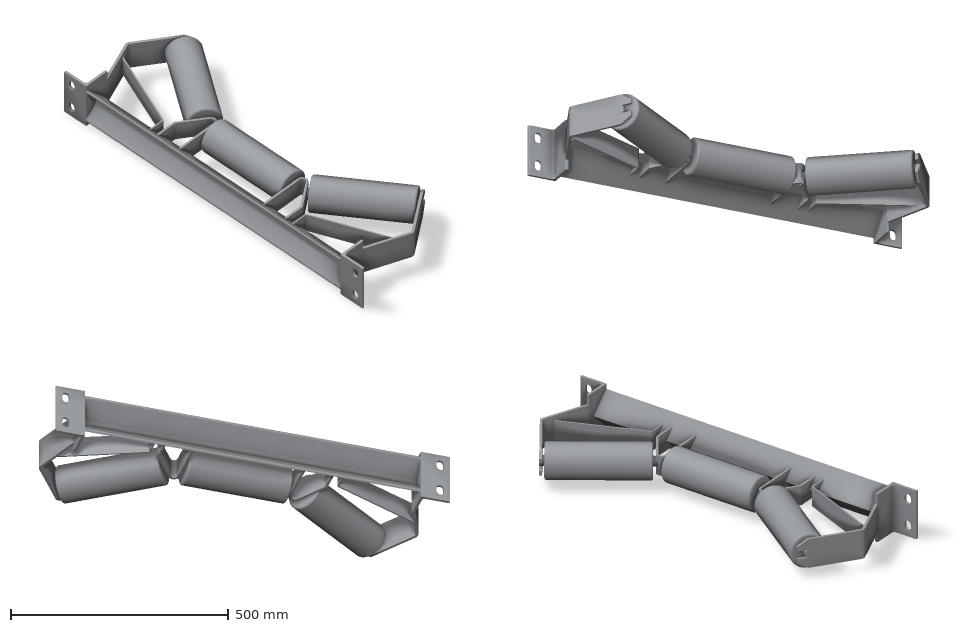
import cadquery as cq
import math


beam_leg = 70.0
beam_thickness = 7.0
beam_root_radius = 10.0
beam_toe_radius = 5.0
beam_apex_y = 51.0

total_length = 950.0
end_angle_width = 125.0
end_angle_leg = 70.0
end_angle_thickness = 7.0
end_angle_root_radius = 8.0
end_angle_toe_radius = 3.0
slot_length = 26.0
slot_width = 17.0
slot_edge_distance = 24.0
slot_spacing = 69.0

tilt = 35.0
roller_radius = 45.0
roller_length = 250.0
roller_edge_radius = 5.0
level_roller_y = 133.0
tilted_roller_x = 271.0
tilted_roller_y = 218.5

shaft_radius = 12.0
shaft_length = 274.0
shaft_round_length = 254.0
shaft_flat_width = 20.0
seat_entry_length = 38.0

arm_thickness = 7.0
arm_width = 75.0
arm_lean = 21.6
arm_bend_y = 188.0
arm_bend_radius = 8.0
arm_tip_y = 320.0
arm_tip_chamfer_length = 27.0
arm_tip_chamfer_width = 16.0

bracket_thickness = 6.0
bracket_width = 50.0
bracket_inner_x = 134.0
bracket_outer_x = 202.0
bracket_bend_y = 82.0
bracket_bend_radius = 3.0
bracket_arch_radius = 9.0

strut_thickness = 4.0
strut_width = bracket_width
strut_foot_x = 227.0
strut_bend_y = 70.0
strut_bend_radius = 2.0
strut_arm_y = 159.0

beam_half_length = total_length / 2 - end_angle_leg
beam_plane = cq.Plane(origin=(-beam_half_length, beam_apex_y, 0), xDir=(0, -1, 1), normal=(1, 0, 0))
tilt_tangent = math.tan(math.radians(tilt))
lean_tangent = math.tan(math.radians(arm_lean))
arm_foot_x = beam_half_length + end_angle_thickness / 2


def arm_x(y):
    """X of the centre line of the lower, leaning part of the arm."""
    return arm_foot_x + (y - end_angle_leg) * lean_tangent


arm_line = [
    (arm_foot_x, end_angle_leg - end_angle_toe_radius),
    (arm_foot_x, end_angle_leg),
    (arm_x(arm_bend_y), arm_bend_y),
    (arm_x(arm_bend_y) - (arm_tip_y - arm_bend_y) * tilt_tangent, arm_tip_y),
]
bracket_peak_y = bracket_bend_y + (bracket_outer_x - bracket_inner_x) / tilt_tangent
bracket_line = [
    (bracket_inner_x, 0),
    (bracket_inner_x, bracket_peak_y),
    (bracket_outer_x, bracket_bend_y),
    (bracket_outer_x, 0),
]
strut_line = [
    (strut_foot_x, 0),
    (strut_foot_x, strut_bend_y),
    (arm_x(strut_arm_y), strut_arm_y),
]


def plate(outline, width):
    """Closed outline in X and Y, extruded along Z and centred on Z = 0."""
    return cq.Workplane("XY", origin=(0, 0, -width / 2)).polyline(outline).close().extrude(width)


def rod(radius, length):
    """Round bar along X, centred on the origin."""
    return cq.Workplane("YZ", origin=(-length / 2, 0, 0)).circle(radius).extrude(length)


def round_corner(body, x, y, radius):
    """Round the edge along Z at the given corner."""
    return body.edges(cq.NearestToPointSelector((x, y, 0))).fillet(radius)


def offset_line(line, distance):
    """Points of an open line moved to its left by a distance, with mitred corners."""
    headings = [math.atan2(end[1] - start[1], end[0] - start[0]) for start, end in zip(line, line[1:])]
    headings_before = headings[:1] + headings
    headings_after = headings + headings[-1:]
    moved = []
    for (x, y), before, after in zip(line, headings_before, headings_after):
        middle = (before + after) / 2
        reach = distance / math.cos((after - before) / 2)
        moved.append((x - reach * math.sin(middle), y + reach * math.cos(middle)))
    return moved


def bent_strap(line, inner_radii, thickness, width):
    """Flat bar bent along a line. Each bend has its inner radius, and 0 leaves it sharp."""
    left = offset_line(line, thickness / 2)
    right = offset_line(line, -thickness / 2)
    strap = plate(left + right[::-1], width)
    for corner, radius in enumerate(inner_radii, start=1):
        if radius == 0:
            continue
        before = line[corner - 1]
        corners = (left[corner], right[corner])
        inner, outer = sorted(corners, key=lambda point: math.dist(point, before))
        strap = round_corner(strap, *inner, radius)
        strap = round_corner(strap, *outer, radius + thickness)
    return strap


def place_level(body):
    """Move a body built along X about the origin to the level roller."""
    return body.translate((0, level_roller_y, 0))


def place_tilted(body):
    """Move a body built along X about the origin to the tilted roller on the +X side."""
    turned = body.rotate((0, 0, 0), (0, 0, 1), tilt)
    return turned.translate((tilted_roller_x, tilted_roller_y, 0))


def mirror_side(body):
    """Copy of a +X side body on the -X side."""
    return body.mirror("YZ")




def make_flatted_rod():
    flats = cq.Workplane("XY").box(shaft_length, 2 * shaft_radius, shaft_flat_width)
    return rod(shaft_radius, shaft_length).intersect(flats)


def make_shaft():
    return make_flatted_rod().union(rod(shaft_radius, shaft_round_length))


def make_shaft_seat():
    """Space of a shaft's flatted ends, open upwards so that the shaft drops in."""
    entry = cq.Workplane("XY").box(
        shaft_length, seat_entry_length, shaft_flat_width, centered=(True, False, True)
    )
    return make_flatted_rod().union(entry)


def make_shell():
    shell = rod(roller_radius, roller_length).edges().fillet(roller_edge_radius)
    return shell.cut(rod(shaft_radius, roller_length))




def make_beam():
    leg = beam_leg
    wall = beam_thickness
    outline = [(0, 0), (leg, 0), (leg, wall), (wall, wall), (wall, leg), (0, leg)]
    beam = cq.Workplane(beam_plane).polyline(outline).close().extrude(2 * beam_half_length)
    rounded_corners = [
        (wall, wall, beam_root_radius),
        (leg, wall, beam_toe_radius),
        (wall, leg, beam_toe_radius),
    ]
    for across, down, radius in rounded_corners:
        corner = beam_plane.toWorldCoords((across, down, beam_half_length))
        beam = beam.edges(cq.NearestToPointSelector(corner.toTuple())).fillet(radius)
    return beam


def make_beam_notch():
    """Wedge filling the beam's outline, which fits the strap feet to the beam's outer faces."""
    notch = cq.Workplane(beam_plane).rect(beam_leg, beam_leg, centered=False)
    return notch.extrude(2 * beam_half_length)


def make_bracket():
    bends = [bracket_arch_radius, bracket_bend_radius]
    bracket = bent_strap(bracket_line, bends, bracket_thickness, bracket_width)
    for seat in (place_level(make_shaft_seat()), place_tilted(make_shaft_seat())):
        bracket = bracket.cut(seat)
    return bracket.cut(make_beam_notch())


def make_frame():
    bracket = make_bracket()
    return make_beam().union(bracket).union(mirror_side(bracket))




def make_end_angle():
    inner_x = beam_half_length
    outer_x = total_length / 2
    wall = end_angle_thickness
    leg = end_angle_leg
    outline = [
        (inner_x, 0),
        (outer_x, 0),
        (outer_x, wall),
        (inner_x + wall, wall),
        (inner_x + wall, leg),
        (inner_x, leg),
    ]
    angle = plate(outline, end_angle_width)
    angle = round_corner(angle, inner_x + wall, wall, end_angle_root_radius)
    angle = round_corner(angle, outer_x, wall, end_angle_toe_radius)
    angle = round_corner(angle, inner_x + wall, leg, end_angle_toe_radius)
    slot_x = outer_x - slot_edge_distance
    slots = cq.Workplane("XZ").pushPoints([(slot_x, slot_spacing / 2), (slot_x, -slot_spacing / 2)])
    return angle.cut(slots.slot2D(slot_length, slot_width, 90).extrude(-wall))


def make_plain_arm():
    return bent_strap(arm_line, [0, arm_bend_radius], arm_thickness, arm_width)


def make_arm_tip_corners():
    """The two wedges cut off the arm's upper corners, made about a tip that points to +Y."""
    half = arm_width / 2
    corner = (
        cq.Workplane("YZ", origin=(-arm_thickness, 0, 0))
        .polyline([(0, half), (-arm_tip_chamfer_length, half), (0, half - arm_tip_chamfer_width)])
        .close()
        .extrude(2 * arm_thickness)
    )
    corners = corner.union(corner.mirror("XY"))
    return corners.rotate((0, 0, 0), (0, 0, 1), tilt).translate((*arm_line[-1], 0))


def make_arm():
    return make_plain_arm().cut(make_arm_tip_corners()).cut(place_tilted(make_shaft_seat()))


def make_strut():
    strut = bent_strap(strut_line, [strut_bend_radius], strut_thickness, strut_width)
    return strut.cut(make_beam_notch())


def make_side_support():
    return make_end_angle().union(make_arm()).union(make_strut())



frame = make_frame()
right_support = make_side_support()
side_supports = [right_support, mirror_side(right_support)]

shells = []
shafts = []
for bodies, body in ((shells, make_shell()), (shafts, make_shaft())):
    tilted_body = place_tilted(body)
    bodies += [mirror_side(tilted_body), place_level(body), tilted_body]

assembly = [frame, *side_supports, *shells, *shafts]
result = cq.Compound.makeCompound([body.solids().val() for body in assembly])